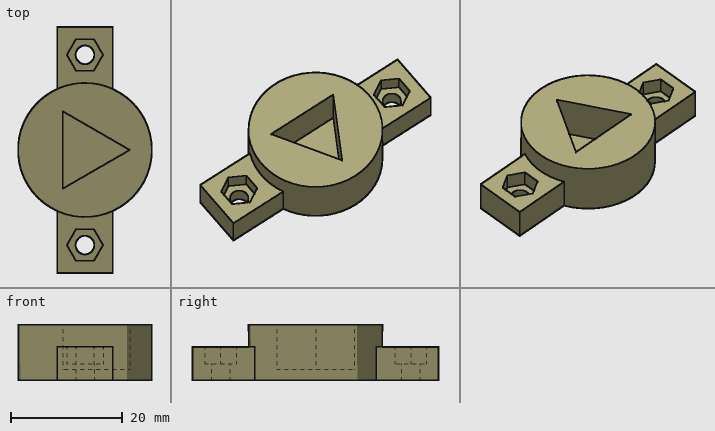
import cadquery as cq

length = 44.0
disc_diameter = 24.0
disc_height = 10.0
lug_width = 10.0
lug_height = 6.0

hole_spacing = 34.0
hole_diameter = 3.3
nut_corner_diameter = 6.45
nut_depth = 3.0

triangle_corner_diameter = 16.0
triangle_depth = 8.0


def make_body():
    disc = cq.Workplane("XY").circle(disc_diameter / 2).extrude(disc_height)
    bar = cq.Workplane("XY").rect(lug_width, length).extrude(lug_height)
    return disc.union(bar)


def polygon_pocket(sides, corner_diameter, top, depth):
    return (
        cq.Workplane("XY")
        .workplane(offset=top - depth)
        .polygon(sides, corner_diameter)
        .extrude(depth)
    )


def make_nut_hole():
    """Through hole with its nut pocket, centred on the Z axis."""
    hole = cq.Workplane("XY").circle(hole_diameter / 2).extrude(lug_height)
    return hole.union(polygon_pocket(6, nut_corner_diameter, lug_height, nut_depth))


result = make_body().cut(polygon_pocket(3, triangle_corner_diameter, disc_height, triangle_depth))
for side in (-1, 1):
    result = result.cut(make_nut_hole().translate((0, side * hole_spacing / 2, 0)))